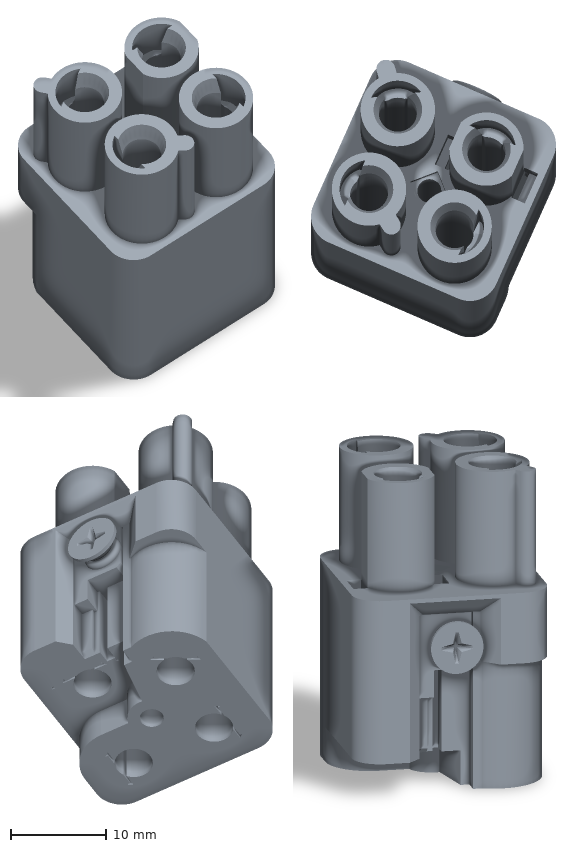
import cadquery as cq
import math

TOTAL_HEIGHT = 33.9
BODY_WIDTH = 20.9
BODY_HEIGHT = 21.5
BODY_CORNER = 3.02
HALF = BODY_WIDTH / 2
FRONT_X = -HALF

SLEEVE_RADIUS = 3.9
SHORT_SLEEVE_DROP = 0.6
FLAT_DISTANCE = 3.6
BORE_RADIUS = 2.0
MOUTH_RADIUS = 2.55
MOUTH_DEPTH = 1.85
LATCH_RADIUS = 3.1
LATCH_CHORD = 1.6
LATCH_GAP = 0.2
LATCH_END_GAP = 0.37
LATCH_TOP_DROP = 4.07
LATCH_SIDES = 8
LATCH_SLOPE = 60
KEY_DISTANCE = 4.5
KEY_RADIUS = 1.0

LEFT_X = -3.35
RIGHT_X = 5.6
FLAT_SLEEVE = (LEFT_X, 4.58)
KEYED_LEFT = (LEFT_X, -5.55)
KEYED_RIGHT = (RIGHT_X, -4.9)
PLAIN_SLEEVE = (RIGHT_X, 4.88)

SLEEVES = [
    (FLAT_SLEEVE, 180, None),
    (KEYED_LEFT, 210, 220),
    (KEYED_RIGHT, 270, 55),
    (PLAIN_SLEEVE, 90, None),
]

POCKET_LENGTH = 3.45
POCKET_OUTER = 5.15
POCKET_STEP = 4.17
POCKET_DEPTH = 2.05
POCKET_STRIP_DEPTH = 3.4
VENT_SIZE = 0.3
VENT_OFFSET = (-1.55, 3.9)

DIAMOND_X = 1.1
DIAMOND_HALF = 2.17
DIAMOND_DEPTH = 0.68
CENTRE_HOLE_RADIUS = 1.25

GROOVE_HALF = 4.88
GROOVE_TOP = 21.05
GROOVE_DEPTH = 1.8
GROOVE_SLOPE = 45
GROOVE_FLOOR_X = FRONT_X + GROOVE_DEPTH
SLOT_TOP = GROOVE_TOP - GROOVE_DEPTH
SLOT_STRIPS = [(3.53, -7.25), (2.27, -6.8), (1.65, -5.25), (0.68, -6.85)]
SLOT_Y_MAX = SLOT_STRIPS[0][0]
SLOT_Y_MIN = -2.3
SLOT_FLOOR_X = SLOT_STRIPS[-1][1]
FOOT_BEVEL = 0.55
FOOT_BEVEL_Y_MIN = 1.25

CORNER_CUT_TOP = 13.83
CORNER_ARC_START = (GROOVE_FLOOR_X, -3.25)
CORNER_ARC_MIDDLE = (-9.15, -5.42)
CORNER_ARC_END = (-5.32, -HALF)
STEP_TOP = 3.75
STEP_X = 0.45
STEP_Y_MIN = -1.35
STEP_Y_INNER = -0.35
STEP_LOBE_RADIUS = 2.58
STEP_CORNER = 4.65

BLOCK_FACE_X = -8.8
BLOCK_BACK_X = max(floor_x for _, floor_x in SLOT_STRIPS)
BLOCK_Y_MIN = -2.1
BLOCK_LEG_Y_MIN = 1.93
BLOCK_BOTTOM = 13.2
BLOCK_LEG_BOTTOM = 10.25
BLOCK_CHAMFER = 0.5
SCREW_Z = 16.17
SCREW_FACE_X = FRONT_X - 0.88
HEAD_RADIUS = 2.8
HEAD_RIM = 0.45
STEM_RADIUS = 1.53
COLLAR_RADIUS = 2.15
COLLAR_LENGTH = 0.6
COLLAR_FILLET = 0.5
CROSS_REACH = 1.7
CROSS_TIP = 0.17
CROSS_ROOT = 0.47
CROSS_DEPTH = 0.85
CROSS_FLOOR_SCALE = 0.3


def box(x0, x1, y0, y1, z0, z1):
    """Block between two opposite corners."""
    return cq.Workplane("XY").box(x1 - x0, y1 - y0, z1 - z0, centered=False).translate((x0, y0, z0))


def cylinder(centre, radius, z0, z1):
    """Upright cylinder between two heights."""
    return cq.Workplane("XY", origin=(*centre, z0)).circle(radius).extrude(z1 - z0)


def place(shape, centre, angle=0):
    """Turn a shape built about the Z axis, then move it to a sleeve axis."""
    return shape.rotate((0, 0, 0), (0, 0, 1), angle).translate((*centre, 0))


def housing():
    return (
        cq.Workplane("XY").rect(BODY_WIDTH, BODY_WIDTH).extrude(BODY_HEIGHT)
        .edges("|Z").fillet(BODY_CORNER)
    )


def groove():
    """Groove with bevelled sides, running out through the bottom face."""
    bottom = -GROOVE_TOP
    return (
        cq.Workplane("YZ", origin=(FRONT_X, 0, 0))
        .center(0, (GROOVE_TOP + bottom) / 2)
        .rect(2 * GROOVE_HALF, GROOVE_TOP - bottom)
        .extrude(GROOVE_DEPTH, taper=GROOVE_SLOPE)
    )


def slot():
    """Slot behind the groove, with a stepped floor."""
    strip_ends = [start for start, _ in SLOT_STRIPS[1:]] + [SLOT_Y_MIN]
    cutter = cq.Workplane("XY")
    for (start, floor_x), end in zip(SLOT_STRIPS, strip_ends):
        cutter = cutter.union(box(FRONT_X, floor_x, end, start, 0, SLOT_TOP))
    return cutter


def foot_bevel():
    """Bevels the lower end of the outermost strips of the slot floor."""
    floor_x = SLOT_STRIPS[0][1]
    return (
        cq.Workplane("XZ", origin=(0, SLOT_Y_MAX, 0))
        .polyline([(floor_x, STEP_TOP), (floor_x + FOOT_BEVEL, STEP_TOP), (floor_x, STEP_TOP + FOOT_BEVEL)])
        .close().extrude(SLOT_Y_MAX - FOOT_BEVEL_Y_MIN)
    )


def corner_cut():
    """Sets the lower corner back to a rounded column."""
    return (
        cq.Workplane("XY").moveTo(GROOVE_FLOOR_X, SLOT_Y_MIN)
        .lineTo(*CORNER_ARC_START)
        .threePointArc(CORNER_ARC_MIDDLE, CORNER_ARC_END)
        .lineTo(-BODY_WIDTH, -HALF)
        .lineTo(-BODY_WIDTH, SLOT_Y_MIN)
        .close().extrude(CORNER_CUT_TOP)
    )


def bottom_step():
    """Clears the bottom corner under the flattened sleeve, leaving two rounded columns."""
    lobe_x = DIAMOND_X - STEP_LOBE_RADIUS
    cleared = (
        cq.Workplane("XY")
        .polyline([
            (-HALF, STEP_Y_MIN),
            (SLOT_FLOOR_X, STEP_Y_MIN),
            (lobe_x, STEP_Y_INNER),
            (STEP_X, STEP_Y_INNER),
            (STEP_X, HALF),
            (-HALF, HALF),
        ])
        .close().extrude(STEP_TOP)
    )
    corner_centre = (STEP_X + STEP_CORNER, HALF - STEP_CORNER)
    outer_corner = box(STEP_X, corner_centre[0], corner_centre[1], HALF, 0, STEP_TOP)
    outer_corner = outer_corner.cut(cylinder(corner_centre, STEP_CORNER, 0, STEP_TOP))
    lobe = cylinder((DIAMOND_X, 0), STEP_LOBE_RADIUS, 0, STEP_TOP)
    return cleared.cut(lobe).union(outer_corner)


def sleeve_pockets():
    """Stepped pockets along both flats of the flattened sleeve, each with a vent."""
    half = POCKET_LENGTH / 2
    shelf = box(-half, half, FLAT_DISTANCE, POCKET_OUTER, BODY_HEIGHT - POCKET_DEPTH, BODY_HEIGHT)
    strip = (
        cq.Workplane("YZ", origin=(-half, 0, BODY_HEIGHT))
        .polyline([
            (FLAT_DISTANCE, 0),
            (FLAT_DISTANCE, -POCKET_DEPTH),
            (POCKET_STEP, -POCKET_STRIP_DEPTH),
            (POCKET_STEP, 0),
        ])
        .close().extrude(POCKET_LENGTH)
    )
    vent = cq.Workplane("XY").center(*VENT_OFFSET).rect(VENT_SIZE, VENT_SIZE).extrude(BODY_HEIGHT)
    pocket = shelf.union(strip).union(vent)
    pockets = pocket.union(pocket.mirror("XZ"))
    return place(pockets, FLAT_SLEEVE)


def diamond_recess():
    recess = (
        cq.Workplane("XY", origin=(DIAMOND_X, 0, BODY_HEIGHT - DIAMOND_DEPTH))
        .polyline([(DIAMOND_HALF, 0), (0, DIAMOND_HALF), (-DIAMOND_HALF, 0), (0, -DIAMOND_HALF)])
        .close().extrude(DIAMOND_DEPTH)
    )
    return recess.union(cylinder((DIAMOND_X, 0), CENTRE_HOLE_RADIUS, 0, BODY_HEIGHT))


def key_rib(angle):
    """Round-nosed rib on the outside of a sleeve."""
    height = TOTAL_HEIGHT - BODY_HEIGHT
    web = cq.Workplane("XY", origin=(KEY_DISTANCE / 2, 0, BODY_HEIGHT))
    web = web.rect(KEY_DISTANCE, 2 * KEY_RADIUS).extrude(height)
    nose = cylinder((KEY_DISTANCE, 0), KEY_RADIUS, BODY_HEIGHT, TOTAL_HEIGHT)
    return web.union(nose).rotate((0, 0, 0), (0, 0, 1), angle)


def sleeve(centre, key_angle):
    if centre == FLAT_SLEEVE:
        tube = cylinder((0, 0), SLEEVE_RADIUS, BODY_HEIGHT, TOTAL_HEIGHT - SHORT_SLEEVE_DROP)
        tube = tube.intersect(
            box(-SLEEVE_RADIUS, SLEEVE_RADIUS, -FLAT_DISTANCE, FLAT_DISTANCE, BODY_HEIGHT, TOTAL_HEIGHT)
        )
    else:
        tube = cylinder((0, 0), SLEEVE_RADIUS, BODY_HEIGHT, TOTAL_HEIGHT)
    if key_angle is not None:
        tube = tube.union(key_rib(key_angle))
    return place(tube, centre)


def latch_recess(top):
    """Recess on the +X side of a bore, less the sloped tongue that stands in it."""
    segment = cylinder((0, 0), LATCH_RADIUS, 0, top)
    segment = segment.intersect(box(LATCH_CHORD, LATCH_RADIUS, -LATCH_RADIUS, LATCH_RADIUS, 0, top))
    tip = top - LATCH_TOP_DROP
    base_radius = BORE_RADIUS + tip * math.tan(math.radians(LATCH_SLOPE))
    tongue = (
        cq.Workplane("XY").polygon(LATCH_SIDES, 2 * base_radius, circumscribed=True)
        .extrude(tip, taper=LATCH_SLOPE)
        .cut(cylinder((0, 0), BORE_RADIUS, 0, top))
    )
    half_width = math.sqrt(LATCH_RADIUS**2 - LATCH_CHORD**2) - LATCH_END_GAP
    tongue = tongue.intersect(
        box(LATCH_CHORD + LATCH_GAP, LATCH_RADIUS, -half_width, half_width, 0, top)
    )
    return segment.cut(tongue)


def bore(centre, latch_angle):
    top = TOTAL_HEIGHT
    if centre == FLAT_SLEEVE:
        top -= SHORT_SLEEVE_DROP
    shaft = (
        cq.Workplane("XZ")
        .polyline([
            (0, 0),
            (BORE_RADIUS, 0),
            (BORE_RADIUS, top - MOUTH_DEPTH),
            (MOUTH_RADIUS, top),
            (0, top),
        ])
        .close().revolve(360, (0, 0, 0), (0, 1, 0))
    )
    return place(shaft.union(latch_recess(top)), centre, latch_angle)


def terminal_block():
    head = box(BLOCK_FACE_X, BLOCK_BACK_X, BLOCK_Y_MIN, SLOT_Y_MAX, BLOCK_BOTTOM, SLOT_TOP)
    head = head.edges("|X and <Y and <Z").chamfer(BLOCK_CHAMFER)
    leg = box(BLOCK_FACE_X, BLOCK_BACK_X, BLOCK_LEG_Y_MIN, SLOT_Y_MAX, BLOCK_LEG_BOTTOM, BLOCK_BOTTOM)
    return head.union(leg)


def star_points(scale):
    """Four-pointed outline of the driver recess, one arm at a time."""
    arm = [(CROSS_REACH, -CROSS_TIP), (CROSS_REACH, CROSS_TIP), (CROSS_ROOT, CROSS_ROOT)]
    points = []
    for quarter in range(4):
        angle = math.radians(90 * quarter)
        for along, across in arm:
            points.append((
                scale * (along * math.cos(angle) - across * math.sin(angle)),
                scale * (along * math.sin(angle) + across * math.cos(angle)),
            ))
    return points


def cross_recess():
    """Driver recess that narrows towards its floor."""
    return (
        cq.Workplane("YZ", origin=(SCREW_FACE_X, 0, SCREW_Z))
        .polyline(star_points(1)).close()
        .workplane(offset=CROSS_DEPTH)
        .polyline(star_points(CROSS_FLOOR_SCALE)).close()
        .loft(ruled=True)
    )


def screw():
    """Countersunk-head screw, with a collar where it enters the terminal block."""
    rim_x = SCREW_FACE_X + HEAD_RIM
    stem_x = rim_x + HEAD_RADIUS - STEM_RADIUS
    profile = [
        (SCREW_FACE_X, 0),
        (SCREW_FACE_X, HEAD_RADIUS),
        (rim_x, HEAD_RADIUS),
        (stem_x, STEM_RADIUS),
        (SLOT_FLOOR_X, STEM_RADIUS),
        (SLOT_FLOOR_X, 0),
    ]
    body = cq.Workplane("XY").polyline(profile).close().revolve(360, (0, 0, 0), (1, 0, 0))
    collar_x = BLOCK_FACE_X - COLLAR_LENGTH
    collar = cq.Workplane("YZ", origin=(collar_x, 0, 0)).circle(COLLAR_RADIUS)
    collar = collar.extrude(SLOT_FLOOR_X - collar_x)
    collar = collar.faces("<X").edges().fillet(COLLAR_FILLET)
    return body.union(collar).translate((0, 0, SCREW_Z)).cut(cross_recess())


result = housing()
for cutter in (
    groove(),
    slot(),
    foot_bevel(),
    corner_cut(),
    bottom_step(),
    sleeve_pockets(),
    diamond_recess(),
):
    result = result.cut(cutter)
result = result.union(terminal_block()).union(screw())
for centre, _, key_angle in SLEEVES:
    result = result.union(sleeve(centre, key_angle))
for centre, latch_angle, _ in SLEEVES:
    result = result.cut(bore(centre, latch_angle))